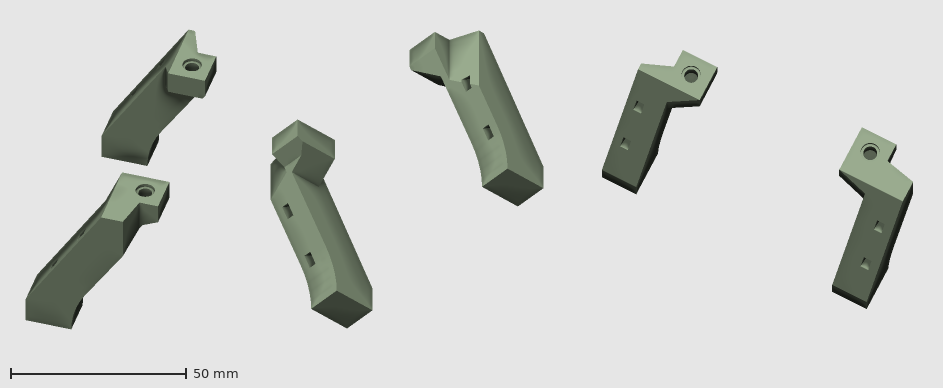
import cadquery as cq
import math

span = 85.0
height = 44.8

arm_width = 11.05
foot_length = 13.6
foot_height = 8.0
crown_x = 22.5
lean = math.atan2(crown_x, height - foot_height)
rise = 1 / math.tan(lean)
back_lean = math.radians(32.4)
heel_radius = 25.8

tab_size = 11.05
tab_thickness = 7.0
hole_diameter = 4.0
counterbore_diameter = 5.5
counterbore_depth = 1.0
hole_depth = 5.1

slot_width = 2.5
slot_length = 3.9
slot_inset = 3.9
slot_x_positions = (7.2, 15.5)
slot_reach = 21.25

gusset_x = 32.0
gusset_end_z = 38.8

heel_end_x = foot_length + heel_radius * (1 - math.cos(back_lean))
heel_end_z = heel_radius * math.sin(back_lean)
heel_mid_x = foot_length + heel_radius * (1 - math.cos(back_lean / 2))
heel_mid_z = heel_radius * math.sin(back_lean / 2)


def back_z(x):
    """Height of the straight back face of the arm at x."""
    return heel_end_z + (x - heel_end_x) / math.tan(back_lean)


def side_profile(end_x, has_gusset):
    """Side outline of a leg, extruded along +Y from the outer side Y = 0."""
    profile = (
        cq.Workplane("XZ")
        .moveTo(foot_length, 0)
        .lineTo(0, 0)
        .lineTo(0, foot_height)
        .lineTo(crown_x, height)
        .lineTo(end_x, height)
    )
    if has_gusset:
        profile = profile.lineTo(end_x, gusset_end_z).lineTo(gusset_x, back_z(gusset_x))
    else:
        profile = profile.lineTo(end_x, back_z(end_x))
    profile = profile.lineTo(heel_end_x, heel_end_z)
    profile = profile.threePointArc((heel_mid_x, heel_mid_z), (foot_length, 0))
    return profile.close().extrude(-span / 2)


def plan_outline(end_x, tab_reach, jog):
    """Plan outline of a leg: the arm, stepping over to the tab between slanted walls."""
    hole_x = end_x - tab_size / 2
    return (
        cq.Workplane("XY")
        .polyline([
            (0, 0),
            (hole_x - jog, 0),
            (hole_x, tab_reach - tab_size),
            (end_x, tab_reach - tab_size),
            (end_x, tab_reach),
            (crown_x, tab_reach),
            (crown_x - jog, arm_width),
            (0, arm_width),
        ])
        .close()
        .extrude(height)
    )


def space_below_tab(end_x, tab_reach, jog):
    """Clearance under the head, its ceiling sloping from the arm up to the tab."""
    tab_bottom = height - tab_thickness
    return (
        cq.Workplane("YZ")
        .polyline([
            (arm_width, 0),
            (tab_reach, 0),
            (tab_reach, tab_bottom),
            (arm_width, tab_bottom - jog * rise),
        ])
        .close()
        .extrude(end_x)
    )


def arm_slots():
    slots = cq.Workplane("XY")
    for x in slot_x_positions:
        slot = (
            cq.Workplane("XY")
            .box(2 * slot_reach, slot_width, slot_length)
            .rotate((0, 0, 0), (0, 1, 0), math.degrees(lean))
            .translate((x, slot_inset, foot_height + x * rise))
        )
        slots = slots.add(slot)
    return slots.combine()


def screw_hole(end_x, tab_reach):
    return (
        cq.Workplane("XY", origin=(end_x - tab_size / 2, tab_reach - tab_size / 2, height))
        .circle(hole_diameter / 2)
        .extrude(-hole_depth)
        .faces(">Z")
        .workplane()
        .circle(counterbore_diameter / 2)
        .extrude(-counterbore_depth)
    )


def make_leg(end_x, tab_reach, jog, has_gusset):
    """Leg with its outer side on Y = 0 and its tab reaching toward +Y.

    tab_reach is the Y extent of the whole leg; jog is the X shift from arm to tab.
    """
    leg = side_profile(end_x, has_gusset).intersect(plan_outline(end_x, tab_reach, jog))
    leg = leg.cut(space_below_tab(end_x, tab_reach, jog))
    leg = leg.cut(arm_slots())
    return leg.cut(screw_hole(end_x, tab_reach))


long_tab_leg = make_leg(end_x=36.6, tab_reach=20.4, jog=2.1, has_gusset=True)
long_tab_leg = long_tab_leg.translate((0, -span / 2, 0))

short_tab_leg = make_leg(end_x=33.5, tab_reach=19.8, jog=3.5, has_gusset=False)
short_tab_leg = short_tab_leg.mirror("XZ").translate((0, span / 2, 0))

result = cq.Compound.makeCompound([long_tab_leg.solids().val(), short_tab_leg.solids().val()])